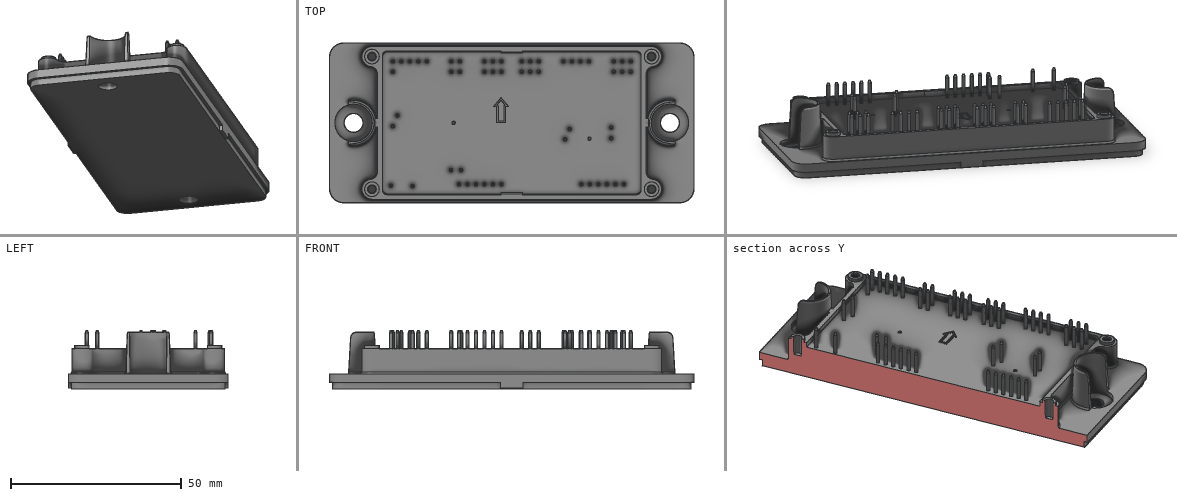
import cadquery as cq
import math

length = 107.2
width = 47.0
total_height = 17.18
flange_bottom = 1.95
flange_top = 4.5
corner_radius = 4.2
lower_inset = 0.9
tab_width = 6.6
tab_depth = 0.9
tab_bottom = 0.3

body_top = 11.9
body_half_x = 39.5
body_half_y = 22.45
skirt_height = 0.6
skirt_flare = 0.35
neck_radius = 2.2

boss_radius = 2.95
boss_x = 41.1
boss_y = body_half_y - boss_radius
rim_diameter = 4.3
rim_top = 12.85
screw_hole_top_diameter = 2.55
screw_hole_bottom_diameter = 2.25
screw_hole_depth = 6.0

recess_half_x = 38.05
recess_half_y = 21.15
recess_slope = 0.3
recess_depth = 1.5
recess_corner_radius = 1.5
rib_width = 6.2
rib_thickness = 0.65
rib_top_thickness = 0.3

mount_x = 46.5
mount_hole_diameter = 5.5
washer_diameter = 11.0
washer_seat_depth = 1.6
guard_top = 16.75
guard_base_radius = 6.65
guard_top_radius = 6.2
guard_chamfer_height = 0.6
guard_chamfer_width = 0.2
guard_overhang = 1.5
guard_end_lean = 0.6
guard_corner_radius = 1.8
guard_web_width = 2.5

pin_diameter = 1.0
pin_pitch = 2.5
pin_tip_height = 0.65
pin_tip_diameter = 0.5
pinhole_depth = 1.0

outer_row_y = 18.05
inner_row_y = 15.0
pin_rows = [
    (-34.95, outer_row_y, 5),
    (-17.75, outer_row_y, 2),
    (-8.0, outer_row_y, 3),
    (2.95, outer_row_y, 3),
    (15.2, outer_row_y, 4),
    (30.0, outer_row_y, 3),
    (-34.95, inner_row_y, 1),
    (-17.75, inner_row_y, 2),
    (-8.0, inner_row_y, 3),
    (2.95, inner_row_y, 3),
    (30.0, inner_row_y, 3),
    (-15.5, -outer_row_y, 6),
    (20.5, -outer_row_y, 6),
]
single_pins = [
    (-33.6, 2.15),
    (-34.95, -1.0),
    (17.0, -1.85),
    (15.7, -4.85),
    (29.25, -1.4),
    (29.25, -4.55),
    (-17.85, -13.9),
    (-14.9, -13.9),
    (-35.5, -18.45),
    (-29.15, -18.6),
]
empty_pinholes = [(-17.1, 0.0), (22.85, -4.65)]

arrow_x = -3.15
arrow_tail_y = 0.1
arrow_shoulder_y = 4.75
arrow_tip_y = 7.4
arrow_head_half_width = 2.25
arrow_shaft_half_width = 1.3
arrow_line_width = 0.5
arrow_depth = 0.3

recess_floor = body_top - recess_depth
corner_signs = [(sx, sy) for sx in (-1, 1) for sy in (-1, 1)]


def rounded_plate(size_x, size_y, bottom, top, radius):
    plate = cq.Workplane("XY").workplane(offset=bottom).rect(size_x, size_y).extrude(top - bottom)
    return plate.edges("|Z").fillet(radius)


def make_base():
    flange = rounded_plate(length, width, flange_bottom, flange_top, corner_radius)
    lower = rounded_plate(
        length - 2 * lower_inset,
        width - 2 * lower_inset,
        0,
        flange_bottom,
        corner_radius - lower_inset,
    )
    base = flange.union(lower)
    for side in (-1, 1):
        tab = cq.Workplane("XY").box(tab_width, tab_depth, flange_top - tab_bottom, centered=(True, True, False))
        base = base.union(tab.translate((0, side * (width - tab_depth) / 2, tab_bottom)))
    return base


def housing_block(flare, bottom, top, taper):
    """Block with a round boss at each corner, blended into the end walls and grown outward by `flare`."""
    half_x = body_half_x + flare
    half_y = body_half_y + flare
    radius = boss_radius + flare
    blend = neck_radius - flare
    blend_x = half_x + blend
    blend_y = boss_y - math.sqrt((radius + blend) ** 2 - (blend_x - boss_x) ** 2)
    touch_share = radius / (radius + blend)
    touch_point = (
        boss_x + touch_share * (blend_x - boss_x),
        boss_y + touch_share * (blend_y - boss_y),
    )
    quarter = (
        cq.Workplane("XY")
        .workplane(offset=bottom)
        .moveTo(0, half_y)
        .lineTo(boss_x, half_y)
        .threePointArc((boss_x + radius, boss_y), touch_point)
        .tangentArcPoint((half_x, blend_y), relative=False)
        .lineTo(half_x, 0)
    )
    return quarter.mirrorX().mirrorY().extrude(top - bottom, taper=taper).clean()


def make_housing():
    skirt_taper = math.degrees(math.atan2(skirt_flare, skirt_height))
    skirt = housing_block(skirt_flare, flange_top, flange_top + skirt_height, skirt_taper)
    housing = housing_block(0, flange_top, body_top, 0).union(skirt)
    for sx, sy in corner_signs:
        rim = cq.Workplane("XY").workplane(offset=body_top).circle(rim_diameter / 2).extrude(rim_top - body_top)
        housing = housing.union(rim.translate((sx * boss_x, sy * boss_y, 0)))
    return housing


def cone(bottom, bottom_radius, top, top_radius):
    """Vertical cone frustum on the Z axis."""
    profile = [(0, bottom), (bottom_radius, bottom), (top_radius, top), (0, top)]
    return cq.Workplane("XZ").polyline(profile).close().revolve(360, (0, 0, 0), (0, 1, 0))


def make_guard():
    """Half-round wall around the -X mounting hole, open toward -X."""
    chamfer_bottom = guard_top - guard_chamfer_height
    skirt_top = flange_top + skirt_height
    wall = cone(flange_top, guard_base_radius, chamfer_bottom, guard_top_radius)
    wall = wall.union(cone(chamfer_bottom, guard_top_radius, guard_top, guard_top_radius - guard_chamfer_width))
    wall = wall.union(cone(flange_top, guard_base_radius + skirt_flare, skirt_top, guard_base_radius))
    corner_x = -guard_overhang + guard_end_lean
    keep = (
        cq.Workplane("XZ")
        .moveTo(-guard_overhang, flange_top)
        .lineTo(corner_x, guard_top - guard_corner_radius)
        .radiusArc((corner_x + guard_corner_radius, guard_top), guard_corner_radius)
        .lineTo(length, guard_top)
        .lineTo(length, flange_top)
        .close()
        .extrude(width / 2, both=True)
    )
    return wall.intersect(keep).translate((-mount_x, 0, 0))


def make_guard_web():
    """Short bridge joining the -X guard to the end wall."""
    web = cq.Workplane("XY").box(
        mount_x - body_half_x, guard_web_width, body_top - flange_top, centered=(False, True, False)
    )
    return web.translate((-mount_x, 0, flange_top))


def make_mounting_hole():
    """Cutter for the -X mounting hole and its washer seat."""
    hole = cq.Workplane("XY").circle(mount_hole_diameter / 2).extrude(total_height)
    seat_bottom = flange_top - washer_seat_depth
    seat = cq.Workplane("XY").workplane(offset=seat_bottom).circle(washer_diameter / 2).extrude(total_height)
    return hole.union(seat).translate((-mount_x, 0, 0))


def make_recess():
    """Rounded rectangular recess whose long walls slope inward."""

    def section(half_y, z):
        sketch = cq.Sketch().rect(2 * recess_half_x, 2 * half_y).vertices().fillet(recess_corner_radius)
        return sketch.moved(cq.Location(cq.Vector(0, 0, z)))

    floor_half_y = recess_half_y - recess_slope
    return (
        cq.Workplane("XY")
        .placeSketch(section(floor_half_y, recess_floor), section(recess_half_y, body_top))
        .loft()
    )


def make_wall_rib():
    """Tapered rib at the middle of the +Y recess wall."""
    root_y = body_half_y
    profile = [
        (root_y, recess_floor),
        (recess_half_y - rib_thickness, recess_floor),
        (recess_half_y - rib_top_thickness, body_top),
        (root_y, body_top),
    ]
    return cq.Workplane("YZ").polyline(profile).close().extrude(rib_width / 2, both=True)


def make_pin(x, y):
    """Round pin with a tapered tip, rooted inside the housing."""
    shoulder = total_height - pin_tip_height
    pin = cq.Workplane("XY").workplane(offset=flange_top).circle(pin_diameter / 2).extrude(shoulder - flange_top)
    tip = cone(shoulder, pin_diameter / 2, total_height, pin_tip_diameter / 2)
    return pin.union(tip).translate((x, y, 0))


def make_arrow_groove():
    """Groove tracing an arrow that points toward +Y."""
    arrow = (
        cq.Workplane("XY")
        .workplane(offset=recess_floor - arrow_depth)
        .polyline(
            [
                (arrow_shaft_half_width, arrow_tail_y),
                (arrow_shaft_half_width, arrow_shoulder_y),
                (arrow_head_half_width, arrow_shoulder_y),
                (0, arrow_tip_y),
                (-arrow_head_half_width, arrow_shoulder_y),
                (-arrow_shaft_half_width, arrow_shoulder_y),
                (-arrow_shaft_half_width, arrow_tail_y),
            ]
        )
        .close()
    )
    outer = arrow.extrude(arrow_depth)
    island = outer.faces(">Z").wires().toPending().offset2D(-arrow_line_width).extrude(-arrow_depth, combine=False)
    return outer.cut(island).translate((arrow_x, 0, 0))


def make_pinholes():
    floor = cq.Workplane("XY").workplane(offset=recess_floor)
    return floor.pushPoints(empty_pinholes).circle(pin_diameter / 2).extrude(-pinhole_depth)


def make_screw_hole(x, y):
    """Slightly tapered blind hole in a corner boss."""
    bottom = rim_top - screw_hole_depth
    hole = cone(bottom, screw_hole_bottom_diameter / 2, rim_top, screw_hole_top_diameter / 2)
    return hole.translate((x, y, 0))


def mirrored(shape):
    return shape.union(shape.mirror("YZ"))


result = make_base().union(make_housing())
result = result.union(mirrored(make_guard())).union(mirrored(make_guard_web()))
result = result.cut(mirrored(make_mounting_hole()))

result = result.cut(make_recess())
rib = make_wall_rib()
result = result.union(rib).union(rib.mirror("XZ"))
result = result.cut(make_arrow_groove()).cut(make_pinholes())

for sx, sy in corner_signs:
    result = result.cut(make_screw_hole(sx * boss_x, sy * boss_y))

pin_positions = list(single_pins)
for first_x, row_y, count in pin_rows:
    pin_positions += [(first_x + i * pin_pitch, row_y) for i in range(count)]
for x, y in pin_positions:
    result = result.union(make_pin(x, y))